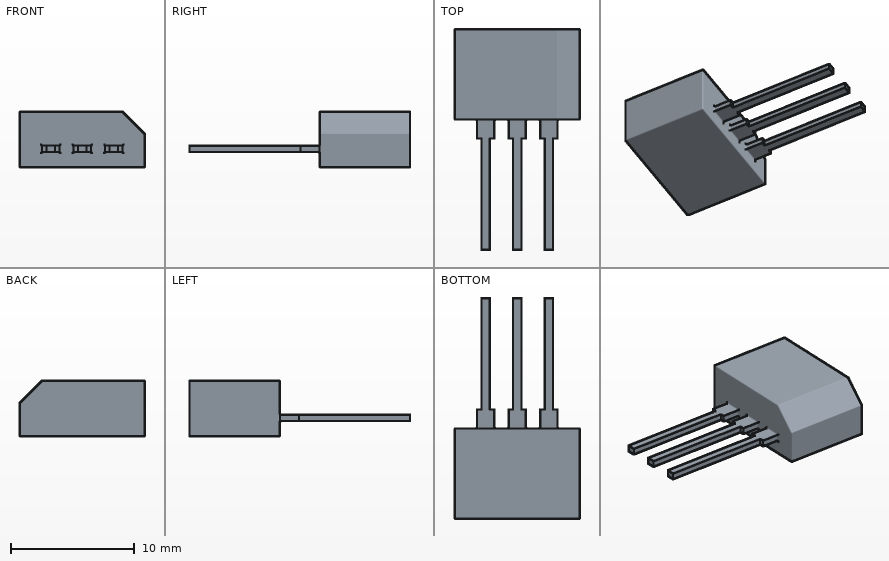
import cadquery as cq

body_width = 10.1
body_height = 4.5
body_depth = 7.3
bevel = 1.8
edge_radius = 0.1

overall_length = 17.81
lead_length = overall_length - body_depth
lead_pitch = 2.55
lead_thickness = 0.53
lead_bottom = 1.23
shoulder_width = 1.4
shoulder_length = 1.53
tail_width = 0.7
root_radius = 0.1
lead_middle = lead_bottom + lead_thickness / 2


def make_body():
    """Beveled block with every edge rounded."""
    half_width = body_width / 2
    outline = [
        (-half_width, 0),
        (half_width, 0),
        (half_width, body_height - bevel),
        (half_width - bevel, body_height),
        (-half_width, body_height),
    ]
    block = cq.Workplane("XZ").polyline(outline).close().extrude(-body_depth)
    return block.edges().fillet(edge_radius)


def make_lead(x):
    """Stepped flat lead running from the body face toward -Y."""
    base = cq.Workplane("XZ").center(x, lead_middle)
    shoulder = base.rect(shoulder_width, lead_thickness).extrude(shoulder_length)
    tail = base.rect(tail_width, lead_thickness).extrude(lead_length)
    return shoulder.union(tail)


def round_root(part, x):
    """Round the inside corner where one lead meets the body face."""
    reach = root_radius
    half_width = shoulder_width / 2 + reach
    half_thickness = lead_thickness / 2 + reach
    root_edges = cq.selectors.BoxSelector(
        (x - half_width, -reach, lead_middle - half_thickness),
        (x + half_width, reach, lead_middle + half_thickness),
    )
    return part.edges("#Y").edges(root_edges).fillet(root_radius)


lead_positions = [-lead_pitch, 0, lead_pitch]

result = make_body()
for lead_x in lead_positions:
    result = result.union(make_lead(lead_x))
for lead_x in lead_positions:
    result = round_root(result, lead_x)